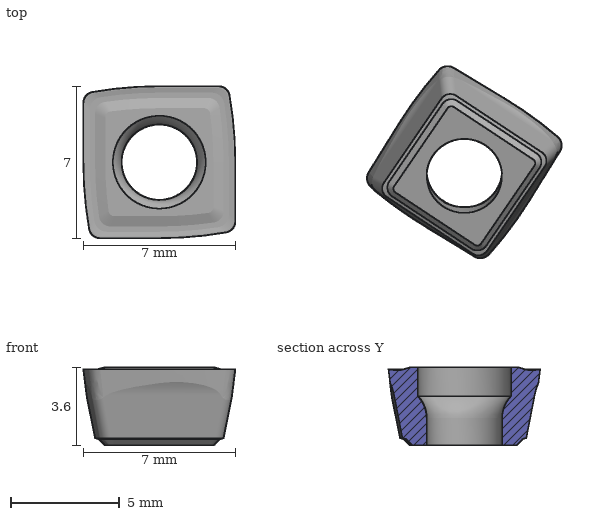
import cadquery as cq
import math

size = 7.0
rim_height = 3.5
total_height = 3.6
half_size = size / 2

wiper_radius = 17.85
edge_corner_radius = 0.525
upper_clearance = 7.2

land_inset = 0.085
rake_inset = 0.3
groove_inset = 0.545
centre_inset = 1.015
groove_height = 3.465
rake_corner_radius = 0.595
groove_corner_radius = 0.525
centre_corner_radius = 0.28

body_turn = 2.5
body_corner_radius = 0.5
wall_bottom = 0.33
wall_bottom_half = 2.855
lower_clearance = 11.0
flare_start = 2.32
flare_radius = 2.45

foot_height = 0.28
foot_half = 2.69
foot_corner_radius = 0.49
foot_bottom_half = foot_half - foot_height
foot_bottom_corner_radius = foot_corner_radius - foot_height

hole_radius = 2.135
neck_radius = 1.73
hole_straight_depth = 1.34
neck_height = 1.26


def turn(point, quarter):
    """Turn a point about the origin by whole quarter turns."""
    x, y = point
    for _ in range(quarter):
        x, y = -y, x
    return x, y


def edge_outline(inset, corner_radius, z):
    """Closed cutting-edge outline, moved inward by inset, at height z.

    The top side is flat for x >= 0 and bends down along an arc for x < 0;
    the other sides are quarter turns of it.
    """
    level = half_size - inset
    bend_radius = wiper_radius - inset
    corner_y = level - corner_radius
    arc_centre_x = level - bend_radius
    reach = bend_radius - corner_radius
    corner_x = arc_centre_x + math.sqrt(reach ** 2 - corner_y ** 2)
    touch_angle = math.atan2(corner_y, corner_x - arc_centre_x)

    def on_bend(angle):
        """Point on the right side's arc."""
        return arc_centre_x + bend_radius * math.cos(angle), bend_radius * math.sin(angle)

    def on_corner(angle):
        """Point on the corner circle."""
        return corner_x + corner_radius * math.cos(angle), corner_y + corner_radius * math.sin(angle)

    mid_corner_angle = (touch_angle + math.pi / 2) / 2
    wire = cq.Workplane("XY", origin=(0, 0, z)).moveTo(level, 0)
    for quarter in range(4):
        wire = wire.threePointArc(
            turn(on_bend(touch_angle / 2), quarter), turn(on_bend(touch_angle), quarter)
        )
        wire = wire.threePointArc(
            turn(on_corner(mid_corner_angle), quarter), turn((corner_x, level), quarter)
        )
        wire = wire.lineTo(*turn((0, level), quarter))
    return wire.wire().val()


def rounded_square(half, corner_radius, z):
    """Outline of a square with rounded corners, at height z."""
    side = 2 * half
    block = cq.Workplane("XY", origin=(0, 0, z)).rect(side, side).extrude(0.07)
    return block.edges("|Z").fillet(corner_radius).faces("<Z").wires().val()


def loft(lower, upper):
    """Straight-sided solid between two outlines."""
    return cq.Workplane(cq.Solid.makeLoft([lower, upper], True))


def upper_taper():
    """Clearance faces hanging from the cutting edge, carried down to the base plane."""
    base_inset = rim_height * math.tan(math.radians(upper_clearance))
    return loft(
        edge_outline(base_inset, edge_corner_radius, 0),
        edge_outline(0, edge_corner_radius, rim_height),
    )


def wall_slab():
    """Bar along Y whose two sides lean outward and then flare along an arc."""
    lean = math.radians(lower_clearance)
    flare_half = wall_bottom_half + (flare_start - wall_bottom) * math.tan(lean)
    centre_x = flare_half + flare_radius * math.cos(lean)
    centre_z = flare_start - flare_radius * math.sin(lean)
    end_angle = math.asin((rim_height - centre_z) / flare_radius)
    mid_angle = (lean + end_angle) / 2

    def flare_point(angle):
        return centre_x - flare_radius * math.cos(angle), centre_z + flare_radius * math.sin(angle)

    half_profile = (
        cq.Workplane("XZ")
        .moveTo(0, wall_bottom)
        .lineTo(wall_bottom_half, wall_bottom)
        .lineTo(flare_half, flare_start)
        .threePointArc(flare_point(mid_angle), flare_point(end_angle))
        .lineTo(0, rim_height)
        .close()
    )
    half_slab = half_profile.extrude(size, both=True)
    return half_slab.union(half_slab.mirror("YZ"))


def lower_body():
    """Tapered and flared walls standing on the chamfered foot."""
    slab = wall_slab()
    walls = slab.intersect(slab.rotate((0, 0, 0), (0, 0, 1), 90))
    walls = walls.edges("not(|X or |Y)").edges("not #Z").fillet(body_corner_radius)
    foot_top = rounded_square(foot_half, foot_corner_radius, foot_height)
    ledge = loft(foot_top, rounded_square(wall_bottom_half, body_corner_radius, wall_bottom))
    chamfer = loft(rounded_square(foot_bottom_half, foot_bottom_corner_radius, 0), foot_top)
    return walls.union(ledge).union(chamfer).rotate((0, 0, 0), (0, 0, 1), body_turn)


def groove_pocket():
    """Recess inside the land, with sides sloping down to the flat groove floor."""
    return loft(
        edge_outline(rake_inset, rake_corner_radius, groove_height),
        edge_outline(land_inset, edge_corner_radius, rim_height),
    )


def raised_centre():
    """Plateau rising from the groove floor around the screw hole."""
    return loft(
        edge_outline(groove_inset, groove_corner_radius, groove_height),
        edge_outline(centre_inset, centre_corner_radius, total_height),
    )


def screw_hole():
    """Straight bore, then a rounded screw seat narrowing to the neck."""
    seat_top = total_height - hole_straight_depth
    seat_rise = seat_top - neck_height
    seat_step = hole_radius - neck_radius
    seat_radius = (seat_step ** 2 + seat_rise ** 2) / (2 * seat_step)
    mid_angle = math.asin(seat_rise / seat_radius) / 2
    seat_middle = (
        neck_radius + seat_radius * (1 - math.cos(mid_angle)),
        neck_height + seat_radius * math.sin(mid_angle),
    )
    return (
        cq.Workplane("XZ")
        .lineTo(neck_radius, 0)
        .lineTo(neck_radius, neck_height)
        .threePointArc(seat_middle, (hole_radius, seat_top))
        .lineTo(hole_radius, total_height)
        .lineTo(0, total_height)
        .close()
        .revolve(360, (0, 0), (0, 1))
    )


blank = upper_taper().intersect(lower_body())
result = blank.cut(groove_pocket()).union(raised_centre()).cut(screw_hole())